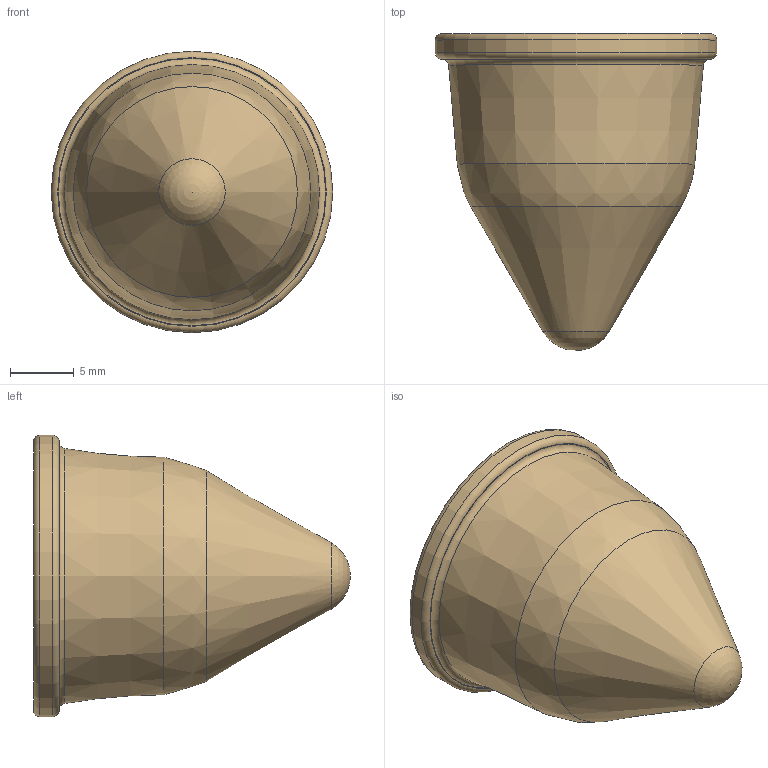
import cadquery as cq
import math


length = 24.77
flange_radius = 11.0
flange_thickness = 2.0
flange_edge_fillet = 0.5
neck_fillet = 0.5
body_root_radius = 10.0
body_draft = 5.0
nose_half_angle = 30.0
shoulder_radius = 8.0
tip_radius = 3.0

draft = math.radians(body_draft)
half_angle = math.radians(nose_half_angle)
tip_end_radius = tip_radius * math.cos(half_angle)
tip_end_depth = length - tip_radius * (1 - math.sin(half_angle))

cone_radius_at_flange = tip_end_radius + (tip_end_depth - flange_thickness) * math.tan(half_angle)
corner_offset = (cone_radius_at_flange - body_root_radius) / (math.tan(half_angle) - math.tan(draft))
corner_radius = body_root_radius - corner_offset * math.tan(draft)
corner_depth = flange_thickness + corner_offset

shoulder_setback = shoulder_radius * math.tan((half_angle - draft) / 2)
shoulder_start = (
    corner_radius + shoulder_setback * math.sin(draft),
    -(corner_depth - shoulder_setback * math.cos(draft)),
)
shoulder_end = (
    corner_radius - shoulder_setback * math.sin(half_angle),
    -(corner_depth + shoulder_setback * math.cos(half_angle)),
)


def make_body():
    """Tapered body, shoulder, nose cone and spherical tip, revolved about Y."""
    profile = (
        cq.Workplane("XY")
        .lineTo(flange_radius, 0)
        .lineTo(flange_radius, -flange_thickness)
        .lineTo(body_root_radius, -flange_thickness)
        .lineTo(*shoulder_start)
        .radiusArc(shoulder_end, shoulder_radius)
        .lineTo(tip_end_radius, -tip_end_depth)
        .radiusArc((0, -length), tip_radius)
        .close()
    )
    return profile.revolve(360, (0, 0), (0, 1))


def round_flange(body):
    """Fill the corner where the body meets the flange, then round both flange rims."""
    body_root_edge = cq.selectors.RadiusNthSelector(-2)
    flange_rim_edges = cq.selectors.RadiusNthSelector(-1)
    with_neck = body.edges(body_root_edge).fillet(neck_fillet)
    return with_neck.edges(flange_rim_edges).fillet(flange_edge_fillet)


result = round_flange(make_body())